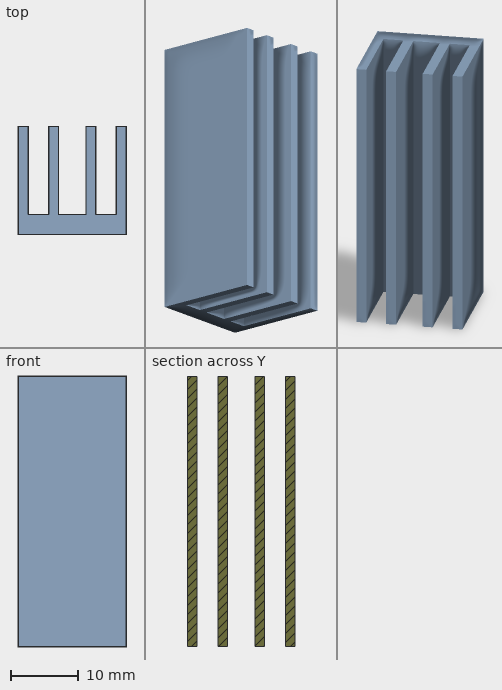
import cadquery as cq

width = 16.0
depth = 16.0
height = 40.0
base_thickness = 3.0
outer_gap = 3.0
middle_gap = 4.0

fin_count = 4
fin_thickness = (width - 2 * outer_gap - middle_gap) / fin_count
gap_offset = middle_gap / 2 + fin_thickness + outer_gap / 2


def channel(center_x, gap_width):
    """Full-height channel between two fins, open towards +Y."""
    channel_depth = depth - base_thickness
    return (
        cq.Workplane("XY")
        .box(gap_width, channel_depth, height)
        .translate((center_x, base_thickness / 2, 0))
    )


result = cq.Workplane("XY").box(width, depth, height)
for center_x, gap_width in (
    (-gap_offset, outer_gap),
    (0, middle_gap),
    (gap_offset, outer_gap),
):
    result = result.cut(channel(center_x, gap_width))